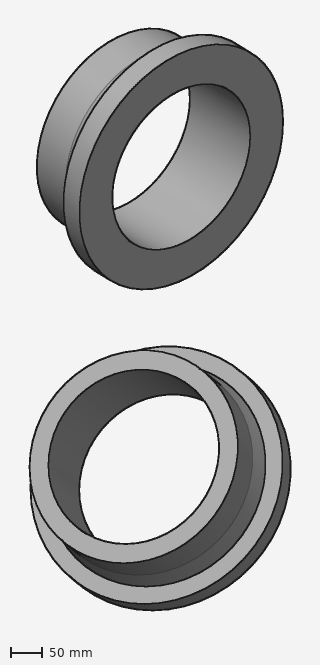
import cadquery as cq

total_length = 150.0
flange_thickness = 39.5
cone_length = 40.0

flange_diameter = 430.0
cone_end_diameter = 372.0
pipe_diameter = 355.0
bore_diameter = 290.5

pipe_end_x = -total_length / 2
flange_face_x = total_length / 2
flange_back_x = flange_face_x - flange_thickness
cone_start_x = flange_back_x - cone_length

half_section = (
    cq.Workplane("XY")
    .moveTo(pipe_end_x, bore_diameter / 2)
    .lineTo(pipe_end_x, pipe_diameter / 2)
    .lineTo(cone_start_x, pipe_diameter / 2)
    .lineTo(flange_back_x, cone_end_diameter / 2)
    .lineTo(flange_back_x, flange_diameter / 2)
    .lineTo(flange_face_x, flange_diameter / 2)
    .lineTo(flange_face_x, bore_diameter / 2)
    .close()
)

result = half_section.revolve(360, (0, 0, 0), (1, 0, 0))